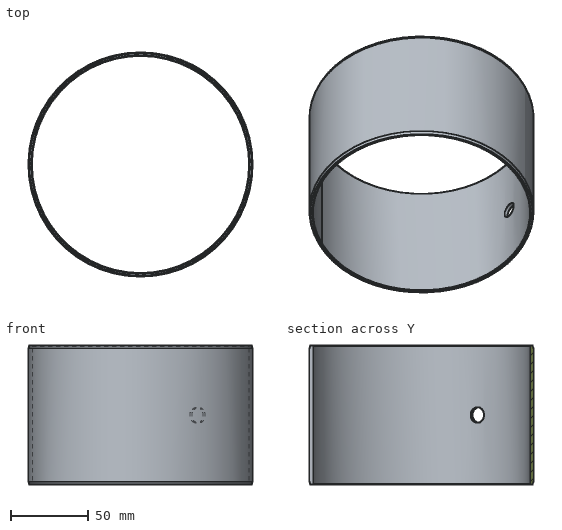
import cadquery as cq

outer_diameter = 145.0
wall = 2.5
height = 90.0
outer_radius = outer_diameter / 2
inner_radius = outer_radius - wall

outer_chamfer_height = 2.0
outer_chamfer_depth = 0.7
inner_chamfer = 0.6

seam_width = 1.0

oil_hole_diameter = 10.0
oil_hole_angle = 59.0


def make_sleeve():
    """Revolve the chamfered wall section, centred on the origin."""
    half = height / 2
    section = [
        (inner_radius, -half + inner_chamfer),
        (inner_radius + inner_chamfer, -half),
        (outer_radius - outer_chamfer_depth, -half),
        (outer_radius, -half + outer_chamfer_height),
        (outer_radius, half - outer_chamfer_height),
        (outer_radius - outer_chamfer_depth, half),
        (inner_radius + inner_chamfer, half),
        (inner_radius, half - inner_chamfer),
    ]
    return cq.Workplane("XZ").polyline(section).close().revolve(360, (0, 0, 0), (0, 1, 0))


def make_seam():
    """Full-height slit through the wall on the -X side."""
    slit = cq.Workplane("XY").box(outer_radius, seam_width, height)
    return slit.translate((-outer_radius, seam_width / 2, 0))


def make_oil_hole():
    """Radial drill from the axis outwards through one wall."""
    drill = cq.Workplane("YZ").circle(oil_hole_diameter / 2).extrude(outer_diameter)
    return drill.rotate((0, 0, 0), (0, 0, 1), oil_hole_angle)


result = make_sleeve().cut(make_seam()).cut(make_oil_hole())